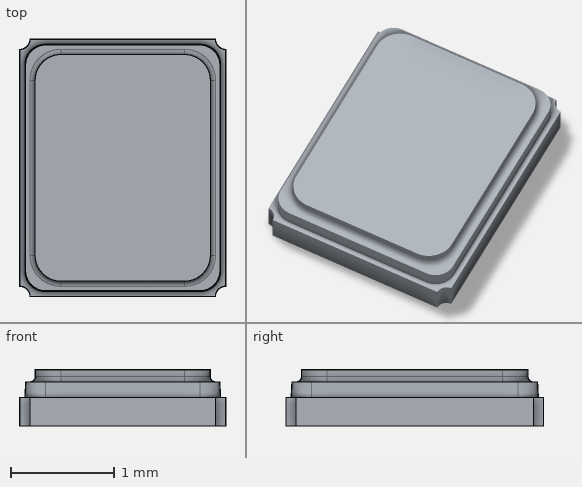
import cadquery as cq

base_width = 2.0
base_length = 2.5
base_height = 0.28
corner_notch_radius = 0.1

flange_inset = 0.05
flange_height = 0.15
flange_corner_radius = 0.2
flange_draft_angle = 3.0

total_height = 0.55
crown_inset = 0.15
crown_corner_radius = 0.25
crown_foot_radius = 0.05

flange_top = base_height + flange_height
crown_height = total_height - flange_top


def rounded_rectangle(inset, corner_radius):
    """Rectangle sketch set in from the base outline, with rounded corners."""
    width = base_width - 2 * inset
    length = base_length - 2 * inset
    return cq.Sketch().rect(width, length).vertices().fillet(corner_radius)


def make_base():
    """Rectangular slab with a quarter-round notch at every vertical edge."""
    slab = cq.Workplane("XY").rect(base_width, base_length).extrude(base_height)
    notches = (
        cq.Workplane("XY")
        .rect(base_width, base_length, forConstruction=True)
        .vertices()
        .circle(corner_notch_radius)
        .extrude(base_height)
    )
    return slab.cut(notches)


def make_lid():
    """Drafted flange carrying a smaller crown, blended by a concave fillet."""
    flange = (
        cq.Workplane("XY", origin=(0, 0, base_height))
        .placeSketch(rounded_rectangle(flange_inset, flange_corner_radius))
        .extrude(flange_height, taper=flange_draft_angle)
    )
    crown = (
        cq.Workplane("XY", origin=(0, 0, flange_top))
        .placeSketch(rounded_rectangle(crown_inset, crown_corner_radius))
        .extrude(crown_height)
    )
    reach_x = (base_width - crown_inset) / 2
    reach_y = (base_length - crown_inset) / 2
    crown_foot = cq.selectors.BoxSelector(
        (-reach_x, -reach_y, flange_top - crown_height / 2),
        (reach_x, reach_y, flange_top + crown_height / 2),
        boundingbox=True,
    )
    return flange.union(crown).edges(crown_foot).fillet(crown_foot_radius)


result = make_base().union(make_lid())